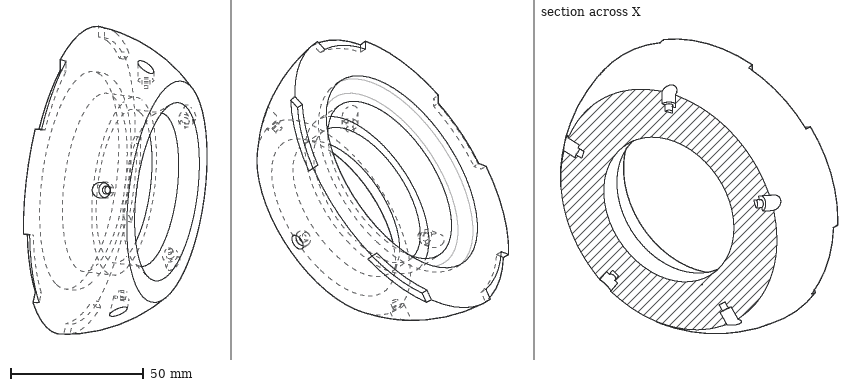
import cadquery as cq
import math

LENGTH = 35.5
BASE_RADIUS = 58.7
SPHERE_CENTER_X = -5.6
SPHERE_RADIUS = math.hypot(BASE_RADIUS, SPHERE_CENTER_X)

ENTRY_RADIUS = 83.0 / 2
ENTRY_FILLET = 4.0
ENTRY_DEPTH = 6.3
MIDDLE_RADIUS = 68.0 / 2
MIDDLE_END_X = 18.2
THROAT_RADIUS = 58.5 / 2
THROAT_END_X = 29.0
MOUTH_RADIUS = 68.0 / 2

COUNT = 5
TOOTH_WIDTH = 40.0
NOTCH_ROOT_RADIUS = 54.7
NOTCH_DEPTH = 2.5

HOLE_X = 27.0
COUNTERBORE_DIAMETER = 6.0
COUNTERBORE_FLOOR_RADIUS = 43.7
PILOT_DIAMETER = 3.0
PILOT_FLOOR_RADIUS = 41.0


def sphere_radius_at(x):
    """Distance from the X axis to the spherical surface at a given x."""
    return math.sqrt(SPHERE_RADIUS**2 - (x - SPHERE_CENTER_X) ** 2)


def turned_body():
    """Revolve the half section, drawn as (x, radius), about the X axis."""
    fillet_start_x = ENTRY_DEPTH - ENTRY_FILLET
    fillet_end_radius = ENTRY_RADIUS - ENTRY_FILLET
    fillet_mid_offset = ENTRY_FILLET * math.sqrt(0.5)
    fillet_mid = (fillet_start_x + fillet_mid_offset, fillet_end_radius + fillet_mid_offset)
    sphere_mid = (LENGTH / 2, sphere_radius_at(LENGTH / 2))
    return (
        cq.Workplane("XY")
        .moveTo(0, ENTRY_RADIUS)
        .lineTo(0, BASE_RADIUS)
        .threePointArc(sphere_mid, (LENGTH, sphere_radius_at(LENGTH)))
        .lineTo(LENGTH, MOUTH_RADIUS)
        .lineTo(THROAT_END_X, THROAT_RADIUS)
        .lineTo(MIDDLE_END_X, THROAT_RADIUS)
        .lineTo(MIDDLE_END_X, MIDDLE_RADIUS)
        .lineTo(ENTRY_DEPTH, MIDDLE_RADIUS)
        .lineTo(ENTRY_DEPTH, fillet_end_radius)
        .threePointArc(fillet_mid, (fillet_start_x, ENTRY_RADIUS))
        .close()
        .revolve(360, (0, 0, 0), (1, 0, 0))
    )


def around_axis(shape):
    """Yield one copy of a shape for each tooth, the first in place."""
    for index in range(COUNT):
        yield shape.rotate((0, 0, 0), (1, 0, 0), index * 360 / COUNT)


def notch_cutter():
    """Rim ring with the parallel-sided teeth left out of it."""
    cutter = cq.Workplane("YZ").circle(SPHERE_RADIUS).circle(NOTCH_ROOT_RADIUS).extrude(NOTCH_DEPTH)
    tooth = cq.Workplane("XY").box(
        NOTCH_DEPTH, TOOTH_WIDTH, SPHERE_RADIUS, centered=(False, True, False)
    )
    for copy in around_axis(tooth):
        cutter = cutter.cut(copy)
    return cutter


def radial_bore(diameter, floor_radius):
    """Cylinder pointing along +Z from a flat floor to beyond the sphere."""
    return (
        cq.Workplane("XY", origin=(HOLE_X, 0, floor_radius))
        .circle(diameter / 2)
        .extrude(SPHERE_RADIUS - floor_radius)
    )


result = turned_body().cut(notch_cutter())
stepped_hole = radial_bore(COUNTERBORE_DIAMETER, COUNTERBORE_FLOOR_RADIUS).union(
    radial_bore(PILOT_DIAMETER, PILOT_FLOOR_RADIUS)
)
for hole in around_axis(stepped_hole):
    result = result.cut(hole)